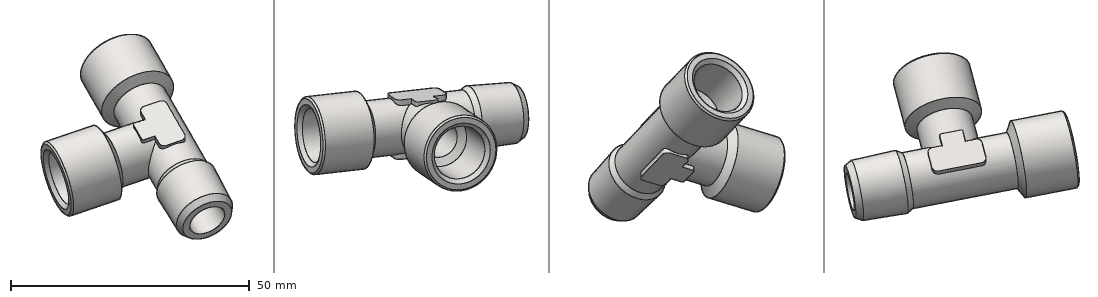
import cadquery as cq
import math


body_radius = 12.0 / 2
passage_radius = 8.0 / 2
shoulder_angle = math.radians(30)

socket_length = 24.5
socket_radius = 16.5 / 2
socket_barrel_length = 11.4
socket_edge_chamfer = 0.4
thread_bore_radius = 11.45 / 2
thread_bore_depth = 11.0
countersink_radius = 13.2 / 2
countersink_depth = countersink_radius - thread_bore_radius
drill_tip_half_angle = math.radians(60)

male_length = 23.0
male_large_radius = 13.5 / 2
male_taper_length = 9.5
male_taper_slope = 1 / 32
male_tip_radius = 5.6
male_tip_angle = math.radians(30)

pad_height = 6.5
pad_half_length = 5.82
pad_stem_reach = pad_half_length
pad_bar_half_width = 2.95
pad_stem_half_width = 2.5
pad_bar_corner_radius = 1.2
pad_stem_corner_radius = 0.4

SOCKET_ROTATIONS = (180, -90)


def revolve_about_x(points):
    """Revolve an (axial, radial) outline a full turn about the X axis."""
    profile = cq.Workplane("XY").polyline(points).close()
    return profile.revolve(360, (0, 0, 0), (1, 0, 0))


def socket_body():
    """Outside of a female socket pointing along +X, with its neck."""
    barrel_start = socket_length - socket_barrel_length
    neck_end = barrel_start - (socket_radius - body_radius) * math.tan(shoulder_angle)
    return revolve_about_x([
        (0, 0),
        (0, body_radius),
        (neck_end, body_radius),
        (barrel_start, socket_radius),
        (socket_length - socket_edge_chamfer, socket_radius),
        (socket_length, socket_radius - socket_edge_chamfer),
        (socket_length, 0),
    ])


def socket_bore():
    """Passage, conical drill tip, thread bore and countersink of a socket along +X."""
    bore_start = socket_length - thread_bore_depth
    tip_length = (thread_bore_radius - passage_radius) / math.tan(drill_tip_half_angle)
    return revolve_about_x([
        (0, 0),
        (0, passage_radius),
        (bore_start - tip_length, passage_radius),
        (bore_start, thread_bore_radius),
        (socket_length - countersink_depth, thread_bore_radius),
        (socket_length, countersink_radius),
        (socket_length, 0),
    ])


def male_body():
    """Outside of the tapered male end along +X, with its neck."""
    small_radius = male_large_radius - male_taper_length * male_taper_slope
    taper_end = male_length - (small_radius - male_tip_radius) / math.tan(male_tip_angle)
    taper_start = taper_end - male_taper_length
    neck_end = taper_start - (male_large_radius - body_radius) / math.tan(shoulder_angle)
    return revolve_about_x([
        (0, 0),
        (0, body_radius),
        (neck_end, body_radius),
        (taper_start, male_large_radius),
        (taper_end, small_radius),
        (male_length, male_tip_radius),
        (male_length, 0),
    ])


def marking_pads():
    """Rounded T-shaped block whose two ends stand proud of the body."""
    full_height = 2 * pad_height
    bar = (
        cq.Workplane("XY")
        .box(2 * pad_half_length, 2 * pad_bar_half_width, full_height)
        .edges("|Z")
        .fillet(pad_bar_corner_radius)
    )
    stem = (
        cq.Workplane("XY")
        .box(2 * pad_stem_half_width, pad_stem_reach, full_height)
        .translate((0, -pad_stem_reach / 2, 0))
        .edges("|Z and <Y")
        .fillet(pad_stem_corner_radius)
    )
    return bar.union(stem)


def about_z(shape, angle):
    """Rotate a shape about the Z axis."""
    return shape.rotate((0, 0, 0), (0, 0, 1), angle)


male_bore = cq.Workplane("YZ").circle(passage_radius).extrude(male_length)

fitting = male_body()
bores = male_bore
for rotation in SOCKET_ROTATIONS:
    fitting = fitting.union(about_z(socket_body(), rotation))
    bores = bores.union(about_z(socket_bore(), rotation))

result = fitting.union(marking_pads()).cut(bores)